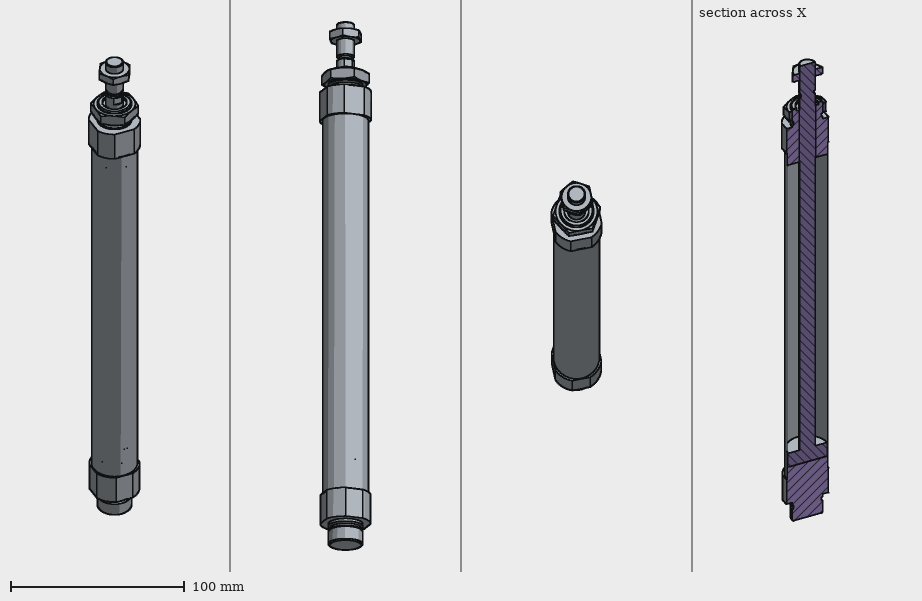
import cadquery as cq
import math

TOTAL_LENGTH = 315.5
LOWER_HEAD_BOTTOM = 13.0
UPPER_HEAD_TOP = 274.5
HEAD_LENGTH = 17.5
HEAD_ACROSS_FLATS = 27.0
UPPER_FLAT_WIDTH = 12.3
LOWER_FLAT_WIDTH = 10.5
TUBE_DIAMETER = 26.5
LOWER_HEAD_TOP = LOWER_HEAD_BOTTOM + HEAD_LENGTH
UPPER_HEAD_BOTTOM = UPPER_HEAD_TOP - HEAD_LENGTH

BORE_DIAMETER = 25.0
BORE_INSET = 8.5
BORE_BOTTOM = LOWER_HEAD_TOP + BORE_INSET
BORE_TOP = UPPER_HEAD_BOTTOM - BORE_INSET
PISTON_LENGTH = 9.5
PISTON_TOP = BORE_BOTTOM + PISTON_LENGTH

SPIGOT_DIAMETER = 20.0
SPIGOT_CHAMFER = 0.8
UPPER_SPIGOT_TOP = 286.7
UNDERCUT_DIAMETER = 18.0
UNDERCUT_WIDTH = 3.0
UPPER_COLLAR_LENGTH = 1.0
LOWER_COLLAR_LENGTH = 1.5
UPPER_UNDERCUT_BOTTOM = UPPER_HEAD_TOP + UPPER_COLLAR_LENGTH
LOWER_UNDERCUT_BOTTOM = LOWER_HEAD_BOTTOM - LOWER_COLLAR_LENGTH - UNDERCUT_WIDTH
RECESS_DIAMETER = 14.2
RECESS_DEPTH = 1.5

ROD_DIAMETER = 10.0
ROD_CHAMFER = 0.47
NECK_DIAMETER = 8.5
NECK_BOTTOM = 293.0
NECK_WIDTH = 2.8
ROD_ACROSS_FLATS = 8.8
FLAT_BOTTOM = 288.3

HEXAGON_SIDES = 6
NUT_CHAMFER_ANGLE = 20.0
MOUNTING_NUT_FLATS = 24.0
MOUNTING_NUT_BOTTOM = 278.8
MOUNTING_NUT_TOP = 285.5
ROD_NUT_FLATS = 17.0
ROD_NUT_BOTTOM = 305.3
ROD_NUT_TOP = 310.5


def cylinder(diameter, bottom, top):
    return cq.Workplane("XY").workplane(offset=bottom).circle(diameter / 2).extrude(top - bottom)


def ring_groove(outer_diameter, root_diameter, bottom, width):
    """Cutter for a ring groove with 45 degree walls, open at the outer diameter."""
    outer = outer_diameter / 2
    root = root_diameter / 2
    depth = outer - root
    top = bottom + width
    return (
        cq.Workplane("XZ")
        .moveTo(outer, bottom)
        .lineTo(root, bottom + depth)
        .lineTo(root, top - depth)
        .lineTo(outer, top)
        .close()
        .revolve(360, (0, 0, 0), (0, 1, 0))
    )


def make_head(bottom, flat_width):
    """Round block with four flats of the given width."""
    square = (
        cq.Workplane("XY")
        .workplane(offset=bottom)
        .rect(HEAD_ACROSS_FLATS, HEAD_ACROSS_FLATS)
        .extrude(HEAD_LENGTH)
    )
    corner_diameter = math.hypot(HEAD_ACROSS_FLATS, flat_width)
    return square.intersect(cylinder(corner_diameter, bottom, bottom + HEAD_LENGTH))


def make_spigot(bottom, top, free_end, undercut_bottom):
    """Spigot chamfered at its free end, with an undercut near the head."""
    spigot = cylinder(SPIGOT_DIAMETER, bottom, top).faces(free_end).chamfer(SPIGOT_CHAMFER)
    return spigot.cut(ring_groove(SPIGOT_DIAMETER, UNDERCUT_DIAMETER, undercut_bottom, UNDERCUT_WIDTH))


def make_housing():
    """Tube, both heads and both spigots as one body, hollow for the piston and its rod."""
    outside = (
        cylinder(TUBE_DIAMETER, LOWER_HEAD_TOP, UPPER_HEAD_BOTTOM)
        .union(make_head(UPPER_HEAD_BOTTOM, UPPER_FLAT_WIDTH))
        .union(make_head(LOWER_HEAD_BOTTOM, LOWER_FLAT_WIDTH))
        .union(make_spigot(UPPER_HEAD_TOP, UPPER_SPIGOT_TOP, ">Z", UPPER_UNDERCUT_BOTTOM))
        .union(make_spigot(0, LOWER_HEAD_BOTTOM, "<Z", LOWER_UNDERCUT_BOTTOM))
    )
    bore = cylinder(BORE_DIAMETER, BORE_BOTTOM, BORE_TOP)
    rod_hole = cylinder(ROD_DIAMETER, BORE_TOP, UPPER_SPIGOT_TOP)
    recess = cylinder(RECESS_DIAMETER, UPPER_SPIGOT_TOP - RECESS_DEPTH, UPPER_SPIGOT_TOP)
    return outside.cut(bore).cut(rod_hole).cut(recess)


def make_rod():
    """Piston and rod; two wrench flats sit just below the neck, facing -X and +X."""
    piston = cylinder(BORE_DIAMETER, BORE_BOTTOM, PISTON_TOP)
    shank = cylinder(ROD_DIAMETER, PISTON_TOP, TOTAL_LENGTH).faces(">Z").chamfer(ROD_CHAMFER)
    neck_groove = ring_groove(ROD_DIAMETER, NECK_DIAMETER, NECK_BOTTOM, NECK_WIDTH)
    flat_height = NECK_BOTTOM - FLAT_BOTTOM
    flat_depth = (ROD_DIAMETER - ROD_ACROSS_FLATS) / 2
    flat_offset = (ROD_ACROSS_FLATS + flat_depth) / 2
    flat_cutters = (
        cq.Workplane("XY")
        .workplane(offset=FLAT_BOTTOM)
        .pushPoints([(-flat_offset, 0), (flat_offset, 0)])
        .rect(flat_depth, ROD_DIAMETER)
        .extrude(flat_height)
    )
    return piston.union(shank.cut(neck_groove).cut(flat_cutters))


def make_nut(across_flats, hole_diameter, bottom, top, corner_angle):
    """Hexagon nut with its corners turned conical at both ends."""
    across_corners = across_flats / math.cos(math.pi / HEXAGON_SIDES)
    hexagon = (
        cq.Workplane("XY")
        .workplane(offset=bottom)
        .polygon(HEXAGON_SIDES, across_corners)
        .extrude(top - bottom)
        .rotate((0, 0, 0), (0, 0, 1), corner_angle)
    )
    corner_overhang = (across_corners - across_flats) / 2
    corner_drop = corner_overhang * math.tan(math.radians(NUT_CHAMFER_ANGLE))
    turned = cylinder(across_corners, bottom, top).faces("<Z or >Z").chamfer(corner_drop, corner_overhang)
    return hexagon.intersect(turned).cut(cylinder(hole_diameter, bottom, top))


housing = make_housing()
rod = make_rod()
mounting_nut = make_nut(MOUNTING_NUT_FLATS, SPIGOT_DIAMETER, MOUNTING_NUT_BOTTOM, MOUNTING_NUT_TOP, 0)
rod_nut = make_nut(ROD_NUT_FLATS, ROD_DIAMETER, ROD_NUT_BOTTOM, ROD_NUT_TOP, 90)

result = cq.Compound.makeCompound([housing.val(), rod.val(), mounting_nut.val(), rod_nut.val()])